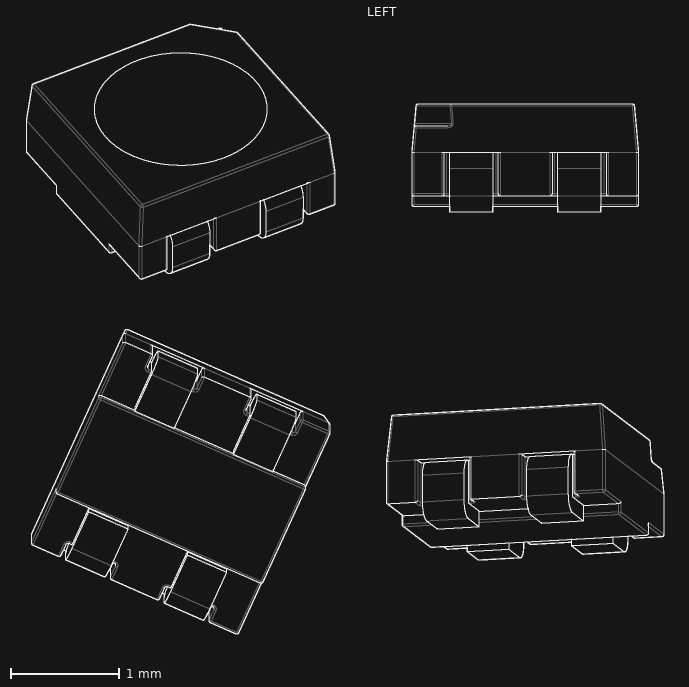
import cadquery as cq
import math

SIDE = 2.1
HEIGHT = 1.0
HALF = SIDE / 2

PEDESTAL_BOTTOM = 0.05
BASE_BOTTOM = 0.15
WAIST = 0.55

TOP_INSET = 0.04
ROUNDING = 0.02
PEDESTAL_WIDTH = 1.0
NOTCH_LEG = 0.4
NOTCH_FLOOR = 0.798

LEAD_THICKNESS = BASE_BOTTOM
LEAD_WIDTH = 0.4
LEAD_PITCH = 1.0
LEAD_END_X = 0.52
LEAD_EMBED = 0.042
SLOT_GAP = 0.05
SLOT_WIDTH = LEAD_WIDTH + 2 * SLOT_GAP
SLOT_FLOOR_X = HALF - LEAD_THICKNESS

LENS_DIAMETER = 1.6
LENS_DEPTH = HEIGHT - WAIST

TOLERANCE = 0.0002

LEAD_PLACES = [(side, row * LEAD_PITCH / 2) for side in (-1, 1) for row in (-1, 1)]


def make_upper_housing():
    """Tapered top half with the corner notch that marks pin 1, all edges but the waist rounded."""
    height = HEIGHT - WAIST
    taper = math.degrees(math.atan(TOP_INSET / height))
    upper = cq.Workplane("XY", origin=(0, 0, WAIST)).rect(SIDE, SIDE).extrude(height, taper=taper)
    notch = (
        cq.Workplane("XY", origin=(-HALF, HALF, NOTCH_FLOOR))
        .polyline([(0, 0), (NOTCH_LEG, 0), (0, -NOTCH_LEG)])
        .close()
        .extrude(height)
    )
    return upper.cut(notch).edges("not(#Z and <Z)").fillet(ROUNDING)


def is_rounded_lower_edge(edge):
    """False for the edges left sharp: beside the pedestal, and under the side walls except at +Y."""
    center = edge.Center()
    under_base = edge.geomType() == "LINE" and abs(center.z - BASE_BOTTOM) < TOLERANCE
    beside_pedestal = under_base and abs(abs(center.x) - PEDESTAL_WIDTH / 2) < TOLERANCE
    under_wall = under_base and abs(abs(center.x) - HALF) < TOLERANCE
    at_notch_end = center.y > (LEAD_PITCH + SLOT_WIDTH) / 2
    return not beside_pedestal and (at_notch_end or not under_wall)


def make_lower_housing():
    """Straight bottom half with lead slots in its sides and a pedestal strip below."""
    base = cq.Workplane("XY", origin=(0, 0, BASE_BOTTOM)).rect(SIDE, SIDE).extrude(WAIST - BASE_BOTTOM)
    pedestal = (
        cq.Workplane("XY", origin=(0, 0, PEDESTAL_BOTTOM))
        .rect(PEDESTAL_WIDTH, SIDE)
        .extrude(WAIST - PEDESTAL_BOTTOM)
    )
    lower = base.union(pedestal)
    for side, y in LEAD_PLACES:
        slot = cq.Workplane("XY").box(2 * LEAD_THICKNESS, SLOT_WIDTH, 4 * HEIGHT)
        lower = lower.cut(slot.translate((side * HALF, y, 0)))
    return lower.edges("not >Z").filter(is_rounded_lower_edge).fillet(ROUNDING)


def make_lead(side, y):
    """Bent lead: upright strip in its slot and a foot under the base, joined by an outer bend."""
    upright_x = SLOT_FLOOR_X - LEAD_EMBED
    foot_top = BASE_BOTTOM + LEAD_EMBED
    outline = [
        (side * HALF, 0),
        (side * HALF, WAIST),
        (side * upright_x, WAIST),
        (side * upright_x, foot_top),
        (side * LEAD_END_X, foot_top),
        (side * LEAD_END_X, 0),
    ]
    lead = cq.Workplane("XZ").polyline(outline).close().extrude(LEAD_WIDTH / 2, both=True)
    outer_edges = ">X and |Y" if side > 0 else "<X and |Y"
    return lead.edges(outer_edges).fillet(LEAD_THICKNESS).translate((0, y, 0))


def make_lens():
    """Clear disc set flush into the top face."""
    return cq.Workplane("XY", origin=(0, 0, HEIGHT)).circle(LENS_DIAMETER / 2).extrude(-LENS_DEPTH)


lens = make_lens()

housing = make_upper_housing().union(make_lower_housing())
for side, y in LEAD_PLACES:
    housing = housing.union(make_lead(side, y))
housing = housing.cut(lens)

result = cq.Compound.makeCompound([housing.val(), lens.val()])